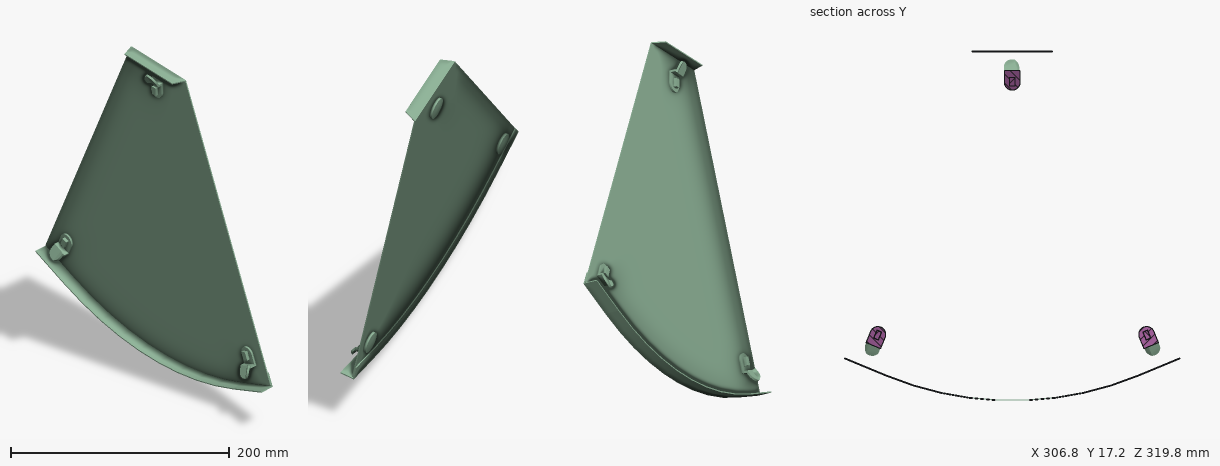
import cadquery as cq
import math

HEIGHT = 319.8
SECTOR_HALF_ANGLE = 22.5
TOP_WIDTH = 74.0
PANEL_BACK = 5.0
PANEL_THICKNESS = 1.12
FLANGE_END_INSET = 4.8

RIM_RADIUS = 300.5
RIM_THICKNESS = 1.12
PANEL_GAP = 1.0
RIM_DEPTH = 14.0
LIP_WIDTH = 14.0

HEAD_RADIUS = 10.2
HEAD_RIM_HEIGHT = 2.4
DOME_HEIGHT = 1.05
SHANK_WIDTH = 5.0
SHANK_LENGTH = 8.3
SHANK_PROTRUSION = 3.2

CLIP_THICKNESS = 1.98
CLIP_RADIUS = 7.5
PAD_END_DROP = 0.5
WEB_BOTTOM = 8.5
WEB_REACH = 6.5
TONGUE_TILT = 30.0
TONGUE_END_CENTRE = 4.8
FLAP_ANGLE = 30.0
FLAP_FOLD_X = -2.5

TOP_LATCH_Z = 131.8
LOWER_LATCH_X = 122.8
LOWER_LATCH_Z = -99.5
LATCHES = [
    (0.0, TOP_LATCH_Z, 0.0),
    (-LOWER_LATCH_X, LOWER_LATCH_Z, 180.0 - SECTOR_HALF_ANGLE),
    (LOWER_LATCH_X, LOWER_LATCH_Z, SECTOR_HALF_ANGLE - 180.0),
]

TOP_Z = HEIGHT / 2
TOP_HALF_WIDTH = TOP_WIDTH / 2
RIM_CENTRE_Z = RIM_RADIUS - HEIGHT / 2
PANEL_FRONT = PANEL_BACK - PANEL_THICKNESS
RIM_BACK = PANEL_BACK + RIM_THICKNESS
FRONT_EDGE = RIM_BACK - RIM_DEPTH
PAD_FRONT = PANEL_FRONT - CLIP_THICKNESS
SIN_SIDE = math.sin(math.radians(SECTOR_HALF_ANGLE))
COS_SIDE = math.cos(math.radians(SECTOR_HALF_ANGLE))


def slab(sketch, y_front, y_back):
    """Extrude a sketch drawn on XZ at Y = 0 so that it fills y_front..y_back."""
    return sketch.extrude(y_back - y_front).translate((0, y_back, 0))


def lower_edge(inset):
    """Right corner, right tangent point and lowest point of a line `inset` inside the outer rim face."""
    radius = RIM_RADIUS - inset
    tangent_x = radius * SIN_SIDE
    tangent_z = RIM_CENTRE_Z - radius * COS_SIDE
    gap_x = TOP_HALF_WIDTH - tangent_x
    gap_z = TOP_Z - tangent_z
    run = gap_x * COS_SIDE + gap_z * SIN_SIDE
    corner = (tangent_x + run * COS_SIDE, tangent_z + run * SIN_SIDE)
    return corner, (tangent_x, tangent_z), (0, RIM_CENTRE_Z - radius)


def mirrored(point):
    return (-point[0], point[1])


def sector_sketch(inset):
    """Closed outline of the sector, its lower edge inset from the outer rim face."""
    corner, tangent, lowest = lower_edge(inset)
    return (
        cq.Workplane("XZ")
        .moveTo(-TOP_HALF_WIDTH, TOP_Z)
        .lineTo(TOP_HALF_WIDTH, TOP_Z)
        .lineTo(*corner)
        .lineTo(*tangent)
        .threePointArc(lowest, mirrored(tangent))
        .lineTo(*mirrored(corner))
        .close()
    )


def band_sketch(width):
    """Closed outline of the strip between the outer rim face and a line `width` inside it."""
    corner, tangent, lowest = lower_edge(0)
    inner_corner, inner_tangent, inner_lowest = lower_edge(width)
    return (
        cq.Workplane("XZ")
        .moveTo(*corner)
        .lineTo(*tangent)
        .threePointArc(lowest, mirrored(tangent))
        .lineTo(*mirrored(corner))
        .lineTo(*mirrored(inner_corner))
        .lineTo(*mirrored(inner_tangent))
        .threePointArc(inner_lowest, inner_tangent)
        .lineTo(*inner_corner)
        .close()
    )


def place_latch_part(part, latch):
    """Turn a latch part about its knob axis and move it to its place."""
    x, z, turn = latch
    return part.rotate((0, 0, 0), (0, -1, 0), turn).translate((x, 0, z))


def shank(y_front, y_back):
    """Rectangular bar on the knob axis; it also cuts the matching holes."""
    return slab(cq.Workplane("XZ").rect(SHANK_WIDTH, SHANK_LENGTH), y_front, y_back)


def make_panel():
    panel = slab(sector_sketch(RIM_THICKNESS + PANEL_GAP), PANEL_FRONT, PANEL_BACK)
    flange = (
        cq.Workplane("XY", origin=(0, 0, TOP_Z))
        .polyline([
            (-TOP_HALF_WIDTH, PANEL_BACK),
            (TOP_HALF_WIDTH, PANEL_BACK),
            (TOP_HALF_WIDTH, PANEL_FRONT),
            (TOP_HALF_WIDTH - FLANGE_END_INSET, FRONT_EDGE),
            (FLANGE_END_INSET - TOP_HALF_WIDTH, FRONT_EDGE),
            (-TOP_HALF_WIDTH, PANEL_FRONT),
        ])
        .close()
        .extrude(-PANEL_THICKNESS)
    )
    panel = panel.union(flange)
    for latch in LATCHES:
        panel = panel.cut(place_latch_part(shank(PANEL_FRONT, PANEL_BACK), latch))
    return panel


def make_rim():
    wall = slab(band_sketch(RIM_THICKNESS), FRONT_EDGE, RIM_BACK)
    lip = slab(band_sketch(LIP_WIDTH), PANEL_BACK, RIM_BACK)
    return wall.union(lip)


def make_knob():
    dome_base = PANEL_BACK + HEAD_RIM_HEIGHT
    dome_top = dome_base + DOME_HEIGHT
    dome_radius = (HEAD_RADIUS**2 + DOME_HEIGHT**2) / (2 * DOME_HEIGHT)
    mid_radius = HEAD_RADIUS / 2
    mid_y = dome_top - dome_radius + math.sqrt(dome_radius**2 - mid_radius**2)
    head = (
        cq.Workplane("XY")
        .moveTo(0, PANEL_BACK)
        .lineTo(HEAD_RADIUS, PANEL_BACK)
        .lineTo(HEAD_RADIUS, dome_base)
        .threePointArc((mid_radius, mid_y), (0, dome_top))
        .close()
        .revolve(360, (0, 0, 0), (0, 1, 0))
    )
    return head.union(shank(PAD_FRONT - SHANK_PROTRUSION, PANEL_BACK))


def make_clip_pad():
    web_top = WEB_BOTTOM + CLIP_THICKNESS
    outline = (
        cq.Workplane("XZ")
        .moveTo(-CLIP_RADIUS, web_top)
        .lineTo(-CLIP_RADIUS, -PAD_END_DROP)
        .threePointArc((0, -PAD_END_DROP - CLIP_RADIUS), (CLIP_RADIUS, -PAD_END_DROP))
        .lineTo(CLIP_RADIUS, web_top)
        .close()
    )
    return slab(outline, PAD_FRONT, PANEL_FRONT).cut(shank(PAD_FRONT, PANEL_FRONT))


def make_clip_web():
    """Shelf standing off the panel; its front end follows the folded tongue."""
    fold = math.radians(FLAP_ANGLE)
    tilt = math.cos(math.radians(TONGUE_TILT))
    flap_width = CLIP_RADIUS + FLAP_FOLD_X
    crease_x = FLAP_FOLD_X + CLIP_THICKNESS * math.tan(fold / 2)
    back_x = FLAP_FOLD_X - flap_width * math.cos(fold)
    back_y = PANEL_FRONT - WEB_REACH + (CLIP_THICKNESS - flap_width * math.sin(fold)) / tilt
    front_x = back_x + CLIP_THICKNESS * math.sin(fold)
    front_y = PANEL_FRONT - WEB_REACH - (crease_x - front_x) * math.tan(fold) / tilt
    return (
        cq.Workplane("XY", origin=(0, 0, WEB_BOTTOM))
        .polyline([
            (-CLIP_RADIUS, PANEL_FRONT),
            (CLIP_RADIUS, PANEL_FRONT),
            (CLIP_RADIUS, PANEL_FRONT - WEB_REACH),
            (crease_x, PANEL_FRONT - WEB_REACH),
            (front_x, front_y),
            (back_x, back_y),
            (-CLIP_RADIUS, back_y),
        ])
        .close()
        .extrude(CLIP_THICKNESS)
    )


def make_clip_tongue():
    """Round-ended sheet leaning forward from the web, with a flap folded up along one side."""
    tilt = math.radians(TONGUE_TILT)
    normal = cq.Vector(0, -math.cos(tilt), -math.sin(tilt))
    front_start = cq.Vector(0, PANEL_FRONT - WEB_REACH, WEB_BOTTOM)
    plane = cq.Plane(front_start - normal * CLIP_THICKNESS, xDir=(1, 0, 0), normal=normal)
    tongue_length = TONGUE_END_CENTRE + CLIP_RADIUS
    blank = (
        cq.Workplane(plane)
        .moveTo(-CLIP_RADIUS, 0)
        .lineTo(CLIP_RADIUS, 0)
        .lineTo(CLIP_RADIUS, TONGUE_END_CENTRE)
        .threePointArc((0, tongue_length), (-CLIP_RADIUS, TONGUE_END_CENTRE))
        .close()
        .extrude(CLIP_THICKNESS)
    )
    flap_width = CLIP_RADIUS + FLAP_FOLD_X
    flap_side = (
        cq.Workplane(plane)
        .rect(flap_width, tongue_length, centered=False)
        .extrude(CLIP_THICKNESS)
        .translate((-CLIP_RADIUS, 0, 0))
    )
    fold_start = plane.toWorldCoords((FLAP_FOLD_X, 0, 0))
    fold_end = plane.toWorldCoords((FLAP_FOLD_X, 3.2, 0))
    flap = blank.intersect(flap_side).rotate(fold_start, fold_end, FLAP_ANGLE)
    return blank.cut(flap_side).union(flap)


def make_clip():
    return make_clip_pad().union(make_clip_web()).union(make_clip_tongue())


panel = make_panel()
rim = make_rim()
knobs = [place_latch_part(make_knob(), latch) for latch in LATCHES]
clips = [place_latch_part(make_clip(), latch) for latch in LATCHES]

result = cq.Compound.makeCompound(
    [panel.val(), rim.val(), *[knob.val() for knob in knobs], *[clip.val() for clip in clips]]
)